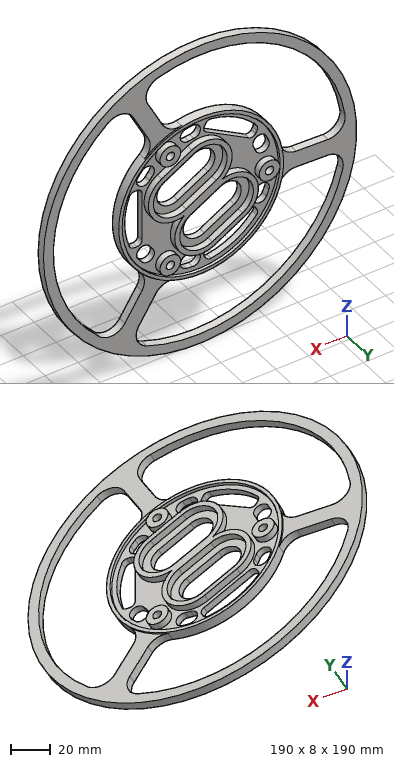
import cadquery as cq
import math

outer_radius = 95.0
rim_inner_radius = 89.0
hub_radius = 50.0
wheel_thickness = 5.0
hub_floor_thickness = 4.0
hub_lip_height = 5.9
hub_lip_width = 2.0
wall_top = 8.0

spoke_count = 3
spoke_pitch = 360 / spoke_count
spoke_width = 10.0
spoke_angle = 62.3
spoke_fillet = 10.0

screw_angle = 60.0
screw_circle_radius = 40.0
screw_hole_diameter = 5.0
screw_boss_diameter = 12.5

kidney_mid_radius = 40.8
kidney_width = 8.5
kidney_offset_angle = 22.6
kidney_half_span = 2.5

window_flat_distance = 34.5
window_outer_radius = 45.0
window_fillet = 3.0
window_half_length = 17.9

oblong_center_radius = 16.0
oblong_center_angle = 60.0
oblong_width = 17.0
oblong_length = 38.0

oblong_wall_margin = 7.8
oblong_wall_thickness = 3.0


def polar(radius, degrees):
    """Point of the XZ plane at a radius and an angle from +X toward +Z."""
    angle = math.radians(degrees)
    return (radius * math.cos(angle), radius * math.sin(angle))


def front():
    """Sketching plane on the front face; negative extrusions grow toward +Y."""
    return cq.Workplane("XZ")


def disc(radius, depth):
    return front().circle(radius).extrude(-depth)


def turned(body, degrees):
    """Turn a body about the wheel axis, from +X toward +Z."""
    return body.rotate((0, 0, 0), (0, -1, 0), degrees)


def spoke_opening(start_spoke_angle):
    """Large opening between one spoke and the next one."""
    half_width = spoke_width / 2
    next_spoke_angle = start_spoke_angle + spoke_pitch
    middle_angle = start_spoke_angle + spoke_pitch / 2
    inner_edge = math.degrees(math.asin(half_width / hub_radius))
    outer_edge = math.degrees(math.asin(half_width / rim_inner_radius))
    opening = (
        front()
        .moveTo(*polar(hub_radius, start_spoke_angle + inner_edge))
        .lineTo(*polar(rim_inner_radius, start_spoke_angle + outer_edge))
        .threePointArc(
            polar(rim_inner_radius, middle_angle),
            polar(rim_inner_radius, next_spoke_angle - outer_edge),
        )
        .lineTo(*polar(hub_radius, next_spoke_angle - inner_edge))
        .threePointArc(
            polar(hub_radius, middle_angle),
            polar(hub_radius, start_spoke_angle + inner_edge),
        )
        .close()
        .extrude(-wheel_thickness)
    )
    return opening.edges("|Y").fillet(spoke_fillet)


def kidney_slot(center_angle):
    """Short slot that follows the screw circle, with round ends."""
    inner = kidney_mid_radius - kidney_width / 2
    outer = kidney_mid_radius + kidney_width / 2
    start = center_angle - kidney_half_span
    end = center_angle + kidney_half_span
    end_cap = math.degrees(kidney_width / 2 / kidney_mid_radius)
    return (
        front()
        .moveTo(*polar(inner, start))
        .threePointArc(polar(inner, center_angle), polar(inner, end))
        .threePointArc(polar(kidney_mid_radius, end + end_cap), polar(outer, end))
        .threePointArc(polar(outer, center_angle), polar(outer, start))
        .threePointArc(polar(kidney_mid_radius, start - end_cap), polar(inner, start))
        .close()
        .extrude(-wall_top)
    )


def segment_window(center_angle):
    """Window with a straight inner side and an arc as its outer side."""
    arc_end_distance = math.sqrt(window_outer_radius**2 - window_half_length**2)
    window = (
        front()
        .moveTo(window_flat_distance, -window_half_length)
        .lineTo(arc_end_distance, -window_half_length)
        .threePointArc((window_outer_radius, 0), (arc_end_distance, window_half_length))
        .lineTo(window_flat_distance, window_half_length)
        .close()
        .extrude(-wall_top)
        .edges("|Y")
        .fillet(window_fillet)
    )
    return turned(window, center_angle)


def oblong(center_angle, margin):
    """Oblong block across the given direction, grown by a margin all round."""
    block = (
        front()
        .center(oblong_center_radius, 0)
        .slot2D(oblong_length + 2 * margin, oblong_width + 2 * margin, 90)
        .extrude(-wall_top)
    )
    return turned(block, center_angle)


spoke_steps = [step * spoke_pitch for step in range(spoke_count)]
screw_angles = [screw_angle + step for step in spoke_steps]
screw_points = [polar(screw_circle_radius, angle) for angle in screw_angles]
oblong_angles = [oblong_center_angle, oblong_center_angle + 180]

result = disc(outer_radius, wheel_thickness)
for step in spoke_steps:
    result = result.cut(spoke_opening(spoke_angle + step))
result = result.union(disc(hub_radius, hub_lip_height))

recess = disc(hub_radius - hub_lip_width, wall_top).cut(disc(hub_radius, hub_floor_thickness))
result = result.cut(recess)

raised = front().pushPoints(screw_points).circle(screw_boss_diameter / 2).extrude(-wall_top)
for angle in oblong_angles:
    raised = raised.union(oblong(angle, oblong_wall_margin))
for angle in oblong_angles:
    wall_inside = oblong(angle, oblong_wall_margin - oblong_wall_thickness)
    raised = raised.cut(wall_inside.cut(disc(hub_radius, hub_floor_thickness)))
result = result.union(raised)

screw_holes = front().pushPoints(screw_points).circle(screw_hole_diameter / 2).extrude(-wall_top)
result = result.cut(screw_holes)
for angle in oblong_angles:
    result = result.cut(oblong(angle, 0))
for angle in screw_angles:
    result = result.cut(kidney_slot(angle - kidney_offset_angle))
    result = result.cut(kidney_slot(angle + kidney_offset_angle))
    result = result.cut(segment_window(angle + spoke_pitch / 2))